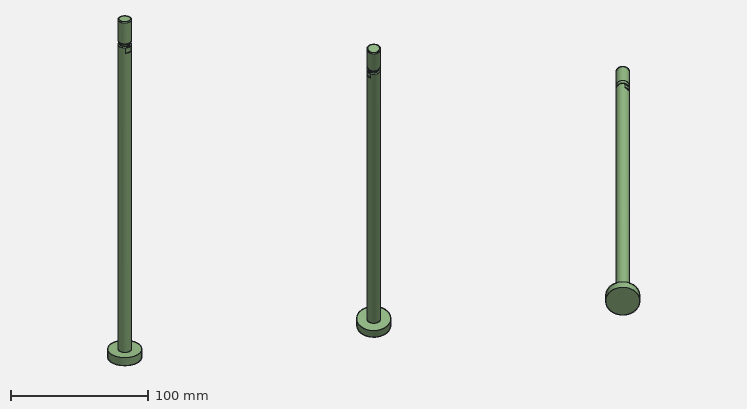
import cadquery as cq

total_length = 286.8
head_diameter = 25.0
head_thickness = 7.0
rod_diameter = 10.0
tip_chamfer = 0.72

groove_diameter = 8.0
groove_top = total_length - 18.5
groove_bottom = total_length - 21.8
upper_shoulder_height = 1.7
lower_shoulder_height = 0.5

flat_length = 4.5
flat_spacing = 9.0


def make_headed_rod():
    """Round head on the base plane with the chamfered rod standing on it."""
    head = cq.Workplane("XY").circle(head_diameter / 2).extrude(head_thickness)
    rod = cq.Workplane("XY").circle(rod_diameter / 2).extrude(total_length)
    rod = rod.faces(">Z").chamfer(tip_chamfer)
    return head.union(rod)


def make_groove_cutter():
    """Ring whose inner profile is the tapered neck groove."""
    rod_radius = rod_diameter / 2
    groove_radius = groove_diameter / 2
    return (
        cq.Workplane("XZ")
        .moveTo(rod_radius, groove_bottom)
        .lineTo(groove_radius, groove_bottom + lower_shoulder_height)
        .lineTo(groove_radius, groove_top - upper_shoulder_height)
        .lineTo(rod_radius, groove_top)
        .close()
        .revolve(360, (0, 0, 0), (0, 1, 0))
    )


def make_flat_cutter(side):
    """Block that cuts one flat; side is -1 for -X and +1 for +X."""
    center_x = side * (flat_spacing + rod_diameter) / 2
    return (
        cq.Workplane("XY")
        .box(rod_diameter, rod_diameter, flat_length)
        .translate((center_x, 0, groove_bottom - flat_length / 2))
    )


result = make_headed_rod().cut(make_groove_cutter())
for side in (-1, 1):
    result = result.cut(make_flat_cutter(side))